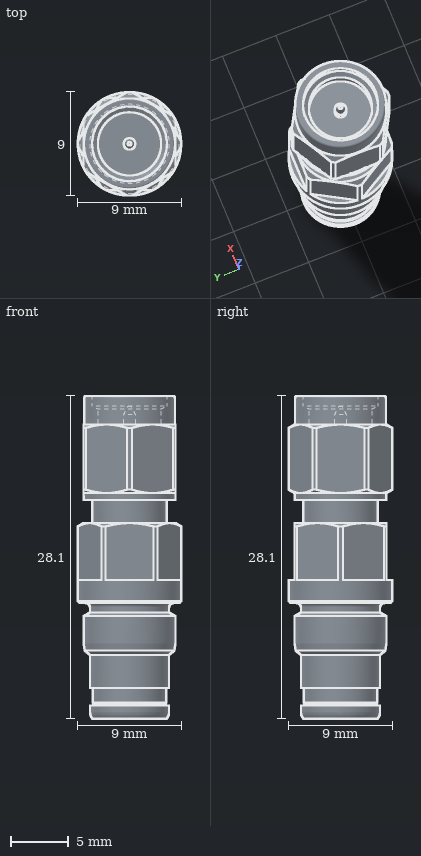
import cadquery as cq
import math


LENGTH = 28.05
HEX_FLATS = 8.0
OUTER_DIAMETER = 9.0
HEX_CORNER_RADIUS = OUTER_DIAMETER / 2
CHAMFER_SLOPE = math.tan(math.radians(30))

LIP_TOP = 1.18
LIP_CURVE_TOP = 0.6
LIP_CURVE_RADIUS = 0.87
RELIEF_RADIUS = 3.17
RELIEF_TOP = 1.35
NECK_BOTTOM = 1.43
NECK_RADIUS = 3.2
NECK_TOP = 2.66

SLEEVE_RADIUS = 3.45
SLEEVE_TOP = 5.55
COLLAR_RADIUS = HEX_FLATS / 2
COLLAR_CONE_TOP = 5.92
COLLAR_CONE_RADIUS = 3.9
COLLAR_TAPER_TOP = 6.5
COLLAR_TOP = 8.92

GROOVE_RADIUS = SLEEVE_RADIUS
GROOVE_BOTTOM = COLLAR_TOP + (COLLAR_RADIUS - GROOVE_RADIUS) * CHAMFER_SLOPE
GROOVE_FILLET = 0.36

FLANGE_BOTTOM = 10.05
FLANGE_CHAMFER = 0.2
FLANGE_TOP = 12.05
BODY_HEX_TOP = 17.03
BODY_HEX_TOP_RADIUS = 3.95

SHANK_RADIUS = 3.25

NUT_BOTTOM = 19.0
NUT_HEX_BOTTOM = 19.6
NUT_HEX_TOP = 25.58
NUT_NOSE_RADIUS = 3.95
NUT_NOSE_FILLET = 0.2

SOCKET_RADIUS = 3.25
SOCKET_DEPTH = 0.9
SOCKET_FLOOR_RADIUS = 2.75
SOCKET_CONE_DEPTH = 1.15
SOCKET_FLOOR_DEPTH = 2.47

PIN_RADIUS = 0.5
PIN_SHOULDER_DEPTH = 1.63
PIN_WAIST_RADIUS = 0.4
PIN_WAIST_DEPTH = 1.37
PIN_TIP_RADIUS = 0.155
PIN_TIP_DEPTH = 0.93


def revolve(profile):
    """Turn a closed (radius, height) profile about the Z axis."""
    return profile.close().revolve(360, (0, 0, 0), (0, 1, 0))


def hex_prism(bottom, top, first_flat_angle):
    """Hexagon with one flat facing the given angle from +X."""
    across_corners = HEX_FLATS / math.cos(math.pi / 6)
    prism = cq.Workplane("XY").workplane(offset=bottom).polygon(6, across_corners).extrude(top - bottom)
    return prism.rotate((0, 0, 0), (0, 0, 1), first_flat_angle + 30)


def make_lower_body():
    """Everything round from the bottom face up to the top of the flange."""
    curve_inset = LIP_CURVE_RADIUS - math.sqrt(LIP_CURVE_RADIUS**2 - LIP_CURVE_TOP**2)
    profile = (
        cq.Workplane("XZ")
        .moveTo(0, 0)
        .lineTo(SLEEVE_RADIUS - curve_inset, 0)
        .radiusArc((SLEEVE_RADIUS, LIP_CURVE_TOP), -LIP_CURVE_RADIUS)
        .lineTo(SLEEVE_RADIUS, LIP_TOP)
        .lineTo(RELIEF_RADIUS, LIP_TOP)
        .lineTo(RELIEF_RADIUS, RELIEF_TOP)
        .lineTo(NECK_RADIUS, NECK_BOTTOM)
        .lineTo(NECK_RADIUS, NECK_TOP)
        .lineTo(SLEEVE_RADIUS, NECK_TOP)
        .lineTo(SLEEVE_RADIUS, SLEEVE_TOP)
        .lineTo(COLLAR_CONE_RADIUS, COLLAR_CONE_TOP)
        .lineTo(COLLAR_RADIUS, COLLAR_TAPER_TOP)
        .lineTo(COLLAR_RADIUS, COLLAR_TOP)
        .lineTo(GROOVE_RADIUS, GROOVE_BOTTOM)
        .lineTo(GROOVE_RADIUS, FLANGE_BOTTOM - GROOVE_FILLET)
        .radiusArc((GROOVE_RADIUS + GROOVE_FILLET, FLANGE_BOTTOM), GROOVE_FILLET)
        .lineTo(HEX_CORNER_RADIUS - FLANGE_CHAMFER, FLANGE_BOTTOM)
        .lineTo(HEX_CORNER_RADIUS, FLANGE_BOTTOM + FLANGE_CHAMFER)
        .lineTo(HEX_CORNER_RADIUS, FLANGE_TOP)
        .lineTo(0, FLANGE_TOP)
    )
    return revolve(profile)


def make_body_hex():
    """Hex above the flange, its top corners chamfered at 30 degrees."""
    chamfer_height = (HEX_CORNER_RADIUS - BODY_HEX_TOP_RADIUS) * CHAMFER_SLOPE
    envelope = revolve(
        cq.Workplane("XZ")
        .moveTo(0, FLANGE_TOP)
        .lineTo(HEX_CORNER_RADIUS, FLANGE_TOP)
        .lineTo(HEX_CORNER_RADIUS, BODY_HEX_TOP - chamfer_height)
        .lineTo(BODY_HEX_TOP_RADIUS, BODY_HEX_TOP)
        .lineTo(0, BODY_HEX_TOP)
    )
    return envelope.intersect(hex_prism(FLANGE_TOP, BODY_HEX_TOP, 90))


def make_shank():
    shank = cq.Workplane("XY").workplane(offset=BODY_HEX_TOP).circle(SHANK_RADIUS)
    return shank.extrude(NUT_HEX_BOTTOM - BODY_HEX_TOP)


def make_nut():
    """Coupling nut: collar, hex chamfered at both ends, and round nose."""
    bottom_chamfer = (HEX_CORNER_RADIUS - COLLAR_RADIUS) * CHAMFER_SLOPE
    top_chamfer = (HEX_CORNER_RADIUS - NUT_NOSE_RADIUS) * CHAMFER_SLOPE
    envelope = revolve(
        cq.Workplane("XZ")
        .moveTo(0, NUT_HEX_BOTTOM)
        .lineTo(COLLAR_RADIUS, NUT_HEX_BOTTOM)
        .lineTo(HEX_CORNER_RADIUS, NUT_HEX_BOTTOM + bottom_chamfer)
        .lineTo(HEX_CORNER_RADIUS, NUT_HEX_TOP - top_chamfer)
        .lineTo(NUT_NOSE_RADIUS, NUT_HEX_TOP)
        .lineTo(0, NUT_HEX_TOP)
    )
    nut_hex = envelope.intersect(hex_prism(NUT_HEX_BOTTOM, NUT_HEX_TOP, 0))
    collar = cq.Workplane("XY").workplane(offset=NUT_BOTTOM).circle(COLLAR_RADIUS)
    collar = collar.extrude(NUT_HEX_BOTTOM - NUT_BOTTOM)
    nose = cq.Workplane("XY").workplane(offset=NUT_HEX_TOP).circle(NUT_NOSE_RADIUS)
    nose = nose.extrude(LENGTH - NUT_HEX_TOP).faces(">Z").edges().fillet(NUT_NOSE_FILLET)
    return collar.union(nut_hex).union(nose)


def make_socket():
    """Stepped cavity in the plug end with a shallow cone between its two bores."""
    return revolve(
        cq.Workplane("XZ")
        .moveTo(0, LENGTH)
        .lineTo(SOCKET_RADIUS, LENGTH)
        .lineTo(SOCKET_RADIUS, LENGTH - SOCKET_DEPTH)
        .lineTo(SOCKET_FLOOR_RADIUS, LENGTH - SOCKET_CONE_DEPTH)
        .lineTo(SOCKET_FLOOR_RADIUS, LENGTH - SOCKET_FLOOR_DEPTH)
        .lineTo(0, LENGTH - SOCKET_FLOOR_DEPTH)
    )


def make_pin():
    """Centre pin on the socket floor with a two-step tapered tip."""
    return revolve(
        cq.Workplane("XZ")
        .moveTo(0, LENGTH - SOCKET_FLOOR_DEPTH)
        .lineTo(PIN_RADIUS, LENGTH - SOCKET_FLOOR_DEPTH)
        .lineTo(PIN_RADIUS, LENGTH - PIN_SHOULDER_DEPTH)
        .lineTo(PIN_WAIST_RADIUS, LENGTH - PIN_WAIST_DEPTH)
        .lineTo(PIN_TIP_RADIUS, LENGTH - PIN_TIP_DEPTH)
        .lineTo(0, LENGTH - PIN_TIP_DEPTH)
    )


outside = make_lower_body().union(make_body_hex()).union(make_shank()).union(make_nut())
result = outside.cut(make_socket()).union(make_pin())